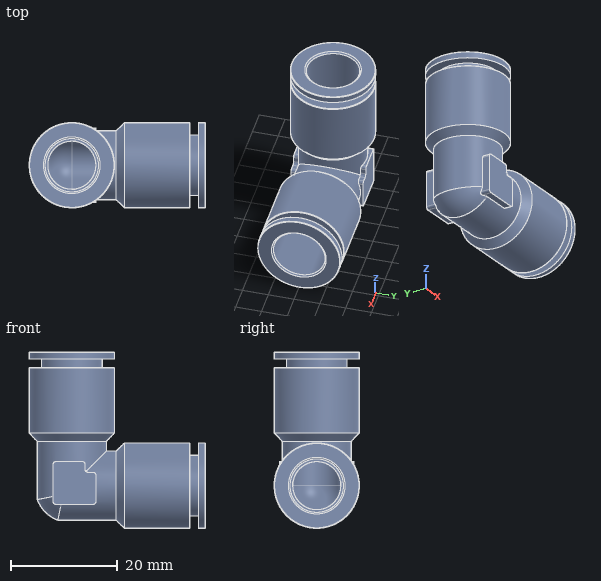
import cadquery as cq


NECK_END = 8.3
BODY_START = 9.85
BODY_END = 22.1
FLANGE_START = 23.7
PORT_END = 25.0

NECK_DIAMETER = 13.0
BODY_DIAMETER = 16.0
STEM_DIAMETER = 11.4
FLANGE_DIAMETER = 16.0
TUBE_BORE_DIAMETER = 10.0
FLOW_BORE_DIAMETER = 9.0

RIM_CHAMFER = 0.1
BORE_CHAMFER = 0.3

CORNER_OFFSET = 0.39

PAD_MIN = -3.5
PAD_SIZE = 8.0
PAD_NOTCH = 2.0
PAD_SPAN_Y = 14.0
PAD_FILLET = 0.5

NECK_RADIUS = NECK_DIAMETER / 2
BODY_RADIUS = BODY_DIAMETER / 2
STEM_RADIUS = STEM_DIAMETER / 2
FLANGE_RADIUS = FLANGE_DIAMETER / 2
TUBE_BORE_RADIUS = TUBE_BORE_DIAMETER / 2
FLOW_BORE_RADIUS = FLOW_BORE_DIAMETER / 2


def revolve_about_z(points):
    """Turn a closed (radius, height) outline around the Z axis."""
    return cq.Workplane("XZ").polyline(points).close().revolve(360, (0, 0), (0, 1))


def on_both_ports(solid):
    """Return a +Z port feature and its +X twin, half a turn about the diagonal x = z."""
    twin = solid.rotate((0, 0, 0), (1, 0, 1), 180)
    return solid, twin


def make_port_shell():
    """Solid outside of one port: neck, cone, body, stem and release flange."""
    return revolve_about_z([
        (0, 0),
        (NECK_RADIUS, 0),
        (NECK_RADIUS, NECK_END),
        (BODY_RADIUS, BODY_START),
        (BODY_RADIUS, BODY_END - RIM_CHAMFER),
        (BODY_RADIUS - RIM_CHAMFER, BODY_END),
        (STEM_RADIUS, BODY_END),
        (STEM_RADIUS, FLANGE_START),
        (FLANGE_RADIUS, FLANGE_START),
        (FLANGE_RADIUS, PORT_END - RIM_CHAMFER),
        (FLANGE_RADIUS - RIM_CHAMFER, PORT_END),
        (0, PORT_END),
    ])


def make_port_bore():
    """Flow passage, wider tube socket and chamfered mouth of one port."""
    return revolve_about_z([
        (0, 0),
        (FLOW_BORE_RADIUS, 0),
        (FLOW_BORE_RADIUS, BODY_START),
        (TUBE_BORE_RADIUS, BODY_START),
        (TUBE_BORE_RADIUS, PORT_END - BORE_CHAMFER),
        (TUBE_BORE_RADIUS + BORE_CHAMFER, PORT_END),
        (0, PORT_END),
    ])


def make_elbow_corner():
    """Mitred outer corner of the two necks, rounded off by a sphere."""
    upright = cq.Workplane("XY").circle(NECK_RADIUS).extrude(-NECK_DIAMETER)
    level = cq.Workplane("YZ").circle(NECK_RADIUS).extrude(-NECK_DIAMETER)
    mitre = upright.intersect(level)

    sphere = cq.Workplane("XY").sphere(NECK_RADIUS)
    sphere = sphere.translate((-CORNER_OFFSET, 0, -CORNER_OFFSET))
    block = cq.Workplane("XY").box(BODY_DIAMETER, BODY_DIAMETER, BODY_DIAMETER)
    block_shift = -CORNER_OFFSET - BODY_RADIUS
    outside_sphere = block.translate((block_shift, 0, block_shift)).cut(sphere)
    return mitre.cut(outside_sphere)


def make_pads():
    """L-shaped plate standing proud of the elbow on both Y sides."""
    pad_max = PAD_MIN + PAD_SIZE
    step = pad_max - PAD_NOTCH
    return (
        cq.Workplane("XZ")
        .polyline([
            (PAD_MIN, PAD_MIN),
            (pad_max, PAD_MIN),
            (pad_max, step),
            (step, step),
            (step, pad_max),
            (PAD_MIN, pad_max),
        ])
        .close()
        .extrude(PAD_SPAN_Y / 2, both=True)
        .edges("|Y")
        .fillet(PAD_FILLET)
    )


result = make_elbow_corner()
for shell in on_both_ports(make_port_shell()):
    result = result.union(shell)
result = result.union(make_pads())

for bore in on_both_ports(make_port_bore()):
    result = result.cut(bore)
result = result.cut(cq.Workplane("XY").sphere(FLOW_BORE_RADIUS))